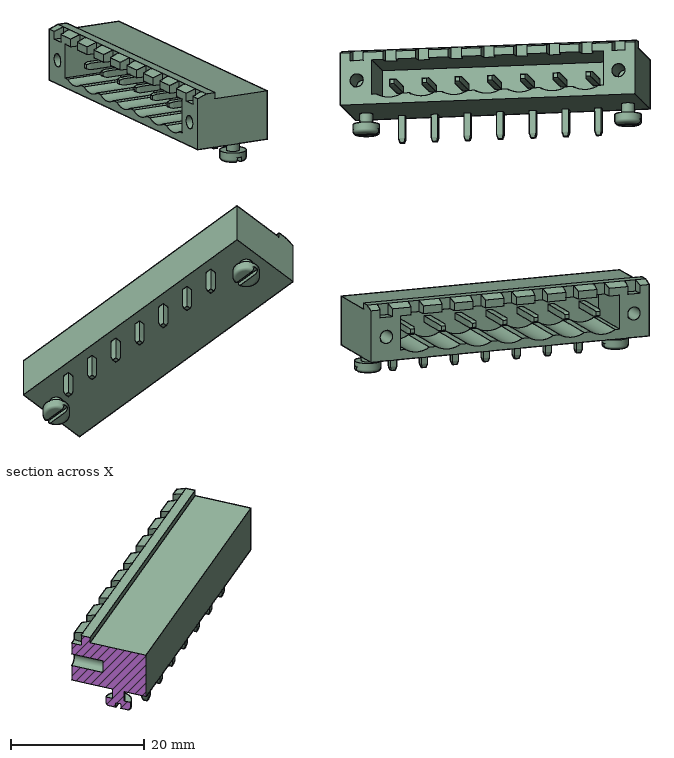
import cadquery as cq
import math

LENGTH = 45.0
DEPTH = 12.0
DECK_HEIGHT = 7.55
LIP_HEIGHT = 8.5
LIP_DEPTH = 3.0
LIP_SLOPE_RUN = 1.5
LIP_SLOPE_DROP = 0.55
FRONT_Y = -DEPTH / 2
BACK_Y = DEPTH / 2

PITCH = 5.0
PIN_COUNT = 7
PIN_WIDTH = 1.0
PIN_TIP_WIDTH = 0.64
PIN_TIP_LENGTH = 0.6
PIN_Z = 3.7
PIN_LEG_Y = BACK_Y - 2.0
PIN_LEG_BOTTOM = -4.1
PIN_FRONT_Y = FRONT_Y + 2.0

CAVITY_WIDTH = 35.4
CAVITY_DEPTH = 8.5
CAVITY_FLOOR = 1.5
CAVITY_TOP = 6.75
SCALLOP_CHORD = 3.9
SCALLOP_SAG = 0.55

NOTCH_DEPTH = LIP_SLOPE_RUN
NOTCH_FRONT_WIDTH = 2.0
NOTCH_BACK_WIDTH = 1.7

FLANGE_X = PITCH * (PIN_COUNT + 1) / 2
FLANGE_HOLE_DIAMETER = 2.0
FLANGE_HOLE_DEPTH = 5.0
SCREW_Y = BACK_Y - 4.5
SHANK_DIAMETER = 2.0
HEAD_DIAMETER = 4.0
HEAD_TOP = -1.6
HEAD_BOTTOM = -3.15
HEAD_EDGE_RADIUS = 0.5
SLOT_WIDTH = 0.75
SLOT_DEPTH = 0.8


def row_positions(count):
    """X positions of a centred row at the contact pitch."""
    return [PITCH * (i - (count - 1) / 2) for i in range(count)]


def make_housing():
    """Stepped block with a raised front lip that slopes down to the front face."""
    profile = [
        (FRONT_Y, 0),
        (BACK_Y, 0),
        (BACK_Y, DECK_HEIGHT),
        (FRONT_Y + LIP_DEPTH, DECK_HEIGHT),
        (FRONT_Y + LIP_DEPTH, LIP_HEIGHT),
        (FRONT_Y + LIP_SLOPE_RUN, LIP_HEIGHT),
        (FRONT_Y, LIP_HEIGHT - LIP_SLOPE_DROP),
    ]
    return cq.Workplane("YZ").polyline(profile).close().extrude(LENGTH / 2, both=True)


def front_plane(y):
    """Workplane at the given Y, with local axes X and Z; extrusion runs toward -Y."""
    return cq.Workplane("XZ", origin=(0, y, 0))


def make_cavity():
    """Rectangular pocket plus one shallow floor scallop under each contact."""
    height = CAVITY_TOP - CAVITY_FLOOR
    back = front_plane(FRONT_Y + CAVITY_DEPTH)
    cavity = back.center(0, CAVITY_FLOOR + height / 2).rect(CAVITY_WIDTH, height).extrude(CAVITY_DEPTH)
    for x in row_positions(PIN_COUNT):
        scallop = (
            back.moveTo(x - SCALLOP_CHORD / 2, CAVITY_FLOOR)
            .threePointArc((x, CAVITY_FLOOR - SCALLOP_SAG), (x + SCALLOP_CHORD / 2, CAVITY_FLOOR))
            .close()
            .extrude(CAVITY_DEPTH)
        )
        cavity = cavity.union(scallop)
    return cavity


def make_notch(x):
    """Vertical notch in the lip, narrowing toward the back."""
    outline = [
        (x - NOTCH_FRONT_WIDTH / 2, FRONT_Y),
        (x + NOTCH_FRONT_WIDTH / 2, FRONT_Y),
        (x + NOTCH_BACK_WIDTH / 2, FRONT_Y + NOTCH_DEPTH),
        (x - NOTCH_BACK_WIDTH / 2, FRONT_Y + NOTCH_DEPTH),
    ]
    notch = cq.Workplane("XY", origin=(0, 0, CAVITY_TOP)).polyline(outline).close()
    return notch.extrude(LIP_HEIGHT - CAVITY_TOP)


def make_bar(plane, length):
    """Square bar along the plane normal, tapered to a smaller square at its far end."""
    shaft_length = length - PIN_TIP_LENGTH
    shaft = plane.rect(PIN_WIDTH, PIN_WIDTH).extrude(shaft_length)
    taper = math.degrees(math.atan((PIN_WIDTH - PIN_TIP_WIDTH) / 2 / PIN_TIP_LENGTH))
    tip = plane.workplane(offset=shaft_length).rect(PIN_WIDTH, PIN_WIDTH)
    return shaft.union(tip.extrude(PIN_TIP_LENGTH, taper=taper))


def make_pin(x):
    """Angled contact: a horizontal mating arm and a vertical solder leg."""
    arm_back = PIN_LEG_Y + PIN_WIDTH / 2
    leg_top = PIN_Z + PIN_WIDTH / 2
    arm = make_bar(cq.Workplane("XZ", origin=(x, arm_back, PIN_Z)), arm_back - PIN_FRONT_Y)
    leg_plane = cq.Workplane(cq.Plane((x, PIN_LEG_Y, leg_top), (1, 0, 0), (0, 0, -1)))
    return arm.union(make_bar(leg_plane, leg_top - PIN_LEG_BOTTOM))


def make_screw(x):
    """Slotted cheese-head screw hanging below the housing."""
    shank = cq.Workplane("XY", origin=(x, SCREW_Y, HEAD_TOP)).circle(SHANK_DIAMETER / 2).extrude(-HEAD_TOP)
    head = (
        cq.Workplane("XY", origin=(x, SCREW_Y, HEAD_BOTTOM))
        .circle(HEAD_DIAMETER / 2)
        .extrude(HEAD_TOP - HEAD_BOTTOM)
        .faces("<Z")
        .fillet(HEAD_EDGE_RADIUS)
    )
    slot = cq.Workplane("XY", origin=(x, SCREW_Y, HEAD_BOTTOM)).rect(HEAD_DIAMETER, SLOT_WIDTH)
    return head.cut(slot.extrude(SLOT_DEPTH)).union(shank)


def make_flange_hole(x):
    """Blind screw hole in the front face, level with the contacts."""
    hole = front_plane(FRONT_Y).center(x, PIN_Z).circle(FLANGE_HOLE_DIAMETER / 2)
    return hole.extrude(-FLANGE_HOLE_DEPTH)


result = make_housing().cut(make_cavity())
for notch_x in row_positions(PIN_COUNT + 2):
    result = result.cut(make_notch(notch_x))
for pin_x in row_positions(PIN_COUNT):
    result = result.union(make_pin(pin_x))
for flange_x in (-FLANGE_X, FLANGE_X):
    result = result.cut(make_flange_hole(flange_x)).union(make_screw(flange_x))